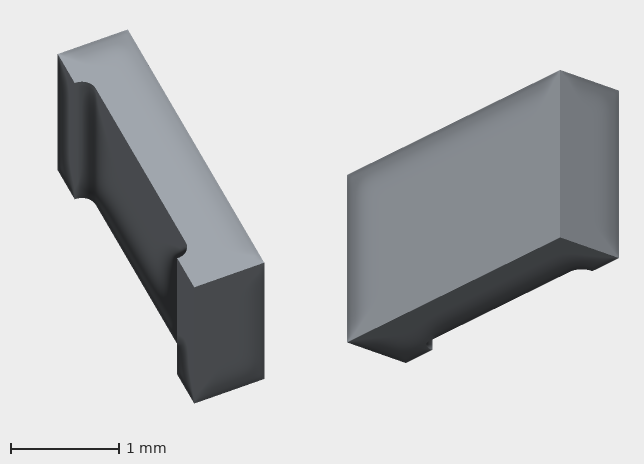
import cadquery as cq

length = 3.05
thickness = 0.71
height = 1.70

foot_width = 0.38
recess_depth = 0.15
corner_radius = 0.14


def make_block():
    return cq.Workplane("XY").box(length, thickness, height)


def make_recess():
    """Channel cutter with its two inner corners rounded."""
    recess_width = length - 2 * foot_width
    front_face = -thickness / 2
    return (
        cq.Workplane("XY")
        .box(recess_width, 2 * recess_depth, height)
        .edges("|Z and >Y")
        .fillet(corner_radius)
        .translate((0, front_face, 0))
    )


result = make_block().cut(make_recess())